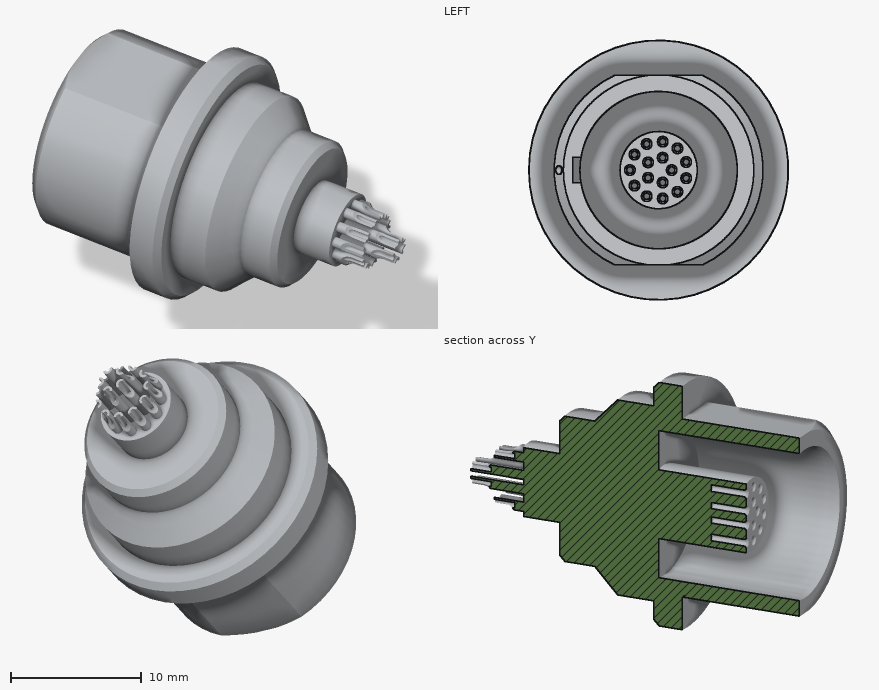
import cadquery as cq
import math

SHELL_FRONT_X = -10.0
FLANGE_REAR_X = 2.5
CONE_FRONT_X = 5.54
CONE_REAR_X = 7.5
HUB_REAR_X = 10.5

SHELL_RADIUS = 8.0
FLANGE_RADIUS = 9.95
HUB_RADIUS = 6.0
NOSE_CHAMFER = 0.7
FLANGE_CHAMFER = 0.5
HUB_CHAMFER = 0.45
FLAT_HALF_HEIGHT = 7.25

BORE_RADIUS = 6.03
BORE_FLOOR_X = 2.0
KEYWAY_WIDTH = 1.95
KEYWAY_REACH = 6.58
KEYWAY_END_X = 0.0

DIMPLE_RADIUS = 0.33

INSULATOR_RADIUS = 2.96
INSULATOR_FRONT_X = -5.45
INSULATOR_REAR_X = 13.6

OUTER_RING = (11, 2.2, 0.0, 16.1)
INNER_RING = (5, 1.0, 180.0, 18.1)

SOCKET_RADIUS = 0.25
SOCKET_MOUTH_RADIUS = 0.4
SOCKET_CHAMFER = SOCKET_MOUTH_RADIUS - SOCKET_RADIUS
SOCKET_DEPTH = 3.0

TAIL_RADIUS = 0.4
TAIL_ROOT_OVERLAP = 0.5
CUP_BORE_RADIUS = 0.2
CUP_OPEN_LENGTH = 0.9
CUP_RUNOUT_LENGTH = 0.85
CUP_DEPTH = CUP_OPEN_LENGTH + CUP_RUNOUT_LENGTH


def x_cylinder(radius, start_x, end_x, y=0.0):
    """Round bar along X between two stations, offset along Y."""
    return cq.Workplane("YZ", origin=(start_x, y, 0)).circle(radius).extrude(end_x - start_x)


def make_shell():
    """Turned outer shell: nose, flange, body, cone and hub."""
    return (
        cq.Workplane("XY")
        .moveTo(SHELL_FRONT_X, 0)
        .lineTo(SHELL_FRONT_X, SHELL_RADIUS - NOSE_CHAMFER)
        .lineTo(SHELL_FRONT_X + NOSE_CHAMFER, SHELL_RADIUS)
        .lineTo(0, SHELL_RADIUS)
        .lineTo(0, FLANGE_RADIUS)
        .lineTo(FLANGE_REAR_X - FLANGE_CHAMFER, FLANGE_RADIUS)
        .lineTo(FLANGE_REAR_X, FLANGE_RADIUS - FLANGE_CHAMFER)
        .lineTo(FLANGE_REAR_X, SHELL_RADIUS)
        .lineTo(CONE_FRONT_X, SHELL_RADIUS)
        .lineTo(CONE_REAR_X, HUB_RADIUS)
        .lineTo(HUB_REAR_X - HUB_CHAMFER, HUB_RADIUS)
        .lineTo(HUB_REAR_X, HUB_RADIUS - HUB_CHAMFER)
        .lineTo(HUB_REAR_X, 0)
        .close()
        .revolve(360, (0, 0, 0), (1, 0, 0))
    )


def cut_flats(shell):
    """Flats above and below the nose, ending at the flange."""
    slab_height = SHELL_RADIUS - FLAT_HALF_HEIGHT
    for side in (1, -1):
        slab = (
            cq.Workplane("XY")
            .box(-SHELL_FRONT_X, 2 * SHELL_RADIUS, slab_height)
            .translate((SHELL_FRONT_X / 2, 0, side * (FLAT_HALF_HEIGHT + slab_height / 2)))
        )
        shell = shell.cut(slab)
    return shell


def cut_bore(shell):
    """Blind socket bore and the shorter keyway along its +Y side."""
    keyway_length = KEYWAY_END_X - SHELL_FRONT_X
    keyway = (
        cq.Workplane("XY")
        .box(keyway_length, KEYWAY_REACH, KEYWAY_WIDTH)
        .translate((SHELL_FRONT_X + keyway_length / 2, KEYWAY_REACH / 2, 0))
    )
    return shell.cut(x_cylinder(BORE_RADIUS, SHELL_FRONT_X, BORE_FLOOR_X)).cut(keyway)


def cut_index_dimple(shell):
    """Spherical dimple centred on the nose chamfer at +Y."""
    dimple = cq.Workplane("XY").sphere(DIMPLE_RADIUS)
    centre = (
        SHELL_FRONT_X + NOSE_CHAMFER / 2,
        SHELL_RADIUS - NOSE_CHAMFER / 2,
        0,
    )
    return shell.cut(dimple.translate(centre))


def ring_angles(ring):
    """Angles of the contacts of one ring, measured from +Y towards +Z."""
    count, _, first_angle, _ = ring
    return [first_angle + index * 360 / count for index in range(count)]


def make_socket_cutter(pitch_radius):
    """Blind hole with a conical mouth, on the +Y side."""
    cutter = x_cylinder(SOCKET_RADIUS, INSULATOR_FRONT_X, INSULATOR_FRONT_X + SOCKET_DEPTH, pitch_radius)
    mouth = cq.Solid.makeCone(
        SOCKET_MOUTH_RADIUS,
        SOCKET_RADIUS,
        SOCKET_CHAMFER,
        cq.Vector(INSULATOR_FRONT_X, pitch_radius, 0),
        cq.Vector(1, 0, 0),
    )
    return cutter.union(cq.Workplane(mouth))


def make_tail(pitch_radius, end_x):
    """Contact tail on the +Y side: a solder cup that opens radially outward."""
    tail = x_cylinder(TAIL_RADIUS, INSULATOR_REAR_X - TAIL_ROOT_OVERLAP, end_x, pitch_radius)
    tail = tail.cut(x_cylinder(CUP_BORE_RADIUS, end_x - CUP_DEPTH, end_x, pitch_radius))

    runout_radius = (CUP_RUNOUT_LENGTH**2 + TAIL_RADIUS**2) / (2 * TAIL_RADIUS)
    half_sweep = math.atan2(TAIL_RADIUS, CUP_RUNOUT_LENGTH)
    open_x = end_x - CUP_OPEN_LENGTH
    arc_middle = (
        open_x - runout_radius * math.sin(half_sweep),
        pitch_radius + runout_radius * (1 - math.cos(half_sweep)),
    )
    opening = (
        cq.Workplane("XY")
        .moveTo(end_x, pitch_radius)
        .lineTo(open_x, pitch_radius)
        .threePointArc(arc_middle, (end_x - CUP_DEPTH, pitch_radius + TAIL_RADIUS))
        .lineTo(end_x, pitch_radius + TAIL_RADIUS)
        .close()
        .extrude(TAIL_RADIUS, both=True)
    )
    return tail.cut(opening)


def make_insert():
    """Insulator with the contact sockets in front and the solder cups behind."""
    insert = x_cylinder(INSULATOR_RADIUS, INSULATOR_FRONT_X, INSULATOR_REAR_X)
    for ring in (OUTER_RING, INNER_RING):
        _, pitch_radius, _, end_x = ring
        socket = make_socket_cutter(pitch_radius)
        tail = make_tail(pitch_radius, end_x)
        for angle in ring_angles(ring):
            insert = insert.cut(socket.rotate((0, 0, 0), (1, 0, 0), angle))
            insert = insert.union(tail.rotate((0, 0, 0), (1, 0, 0), angle))
    return insert


shell = cut_index_dimple(cut_bore(cut_flats(make_shell())))
result = shell.union(make_insert())